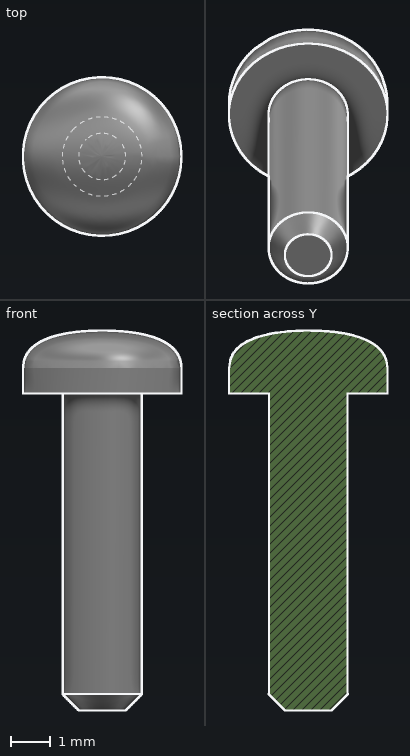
import cadquery as cq

total_length = 9.6
head_diameter = 4.01
head_height = 1.59
rim_height = 0.63
shank_diameter = 2.01
tip_diameter = 1.18
tip_height = 0.41

rim_handle = 0.62
crown_handle = 1.3

head_radius = head_diameter / 2
shank_radius = shank_diameter / 2
tip_radius = tip_diameter / 2
head_bottom = total_length - head_height
dome_bottom = head_bottom + rim_height

dome_curve = [
    (head_radius, dome_bottom),
    (head_radius, dome_bottom + rim_handle),
    (crown_handle, total_length),
    (0, total_length),
]

half_section = (
    cq.Workplane("XZ")
    .lineTo(tip_radius, 0)
    .lineTo(shank_radius, tip_height)
    .lineTo(shank_radius, head_bottom)
    .lineTo(head_radius, head_bottom)
    .lineTo(head_radius, dome_bottom)
    .bezier(dome_curve)
    .close()
)

result = half_section.revolve(360, (0, 0), (0, 1))